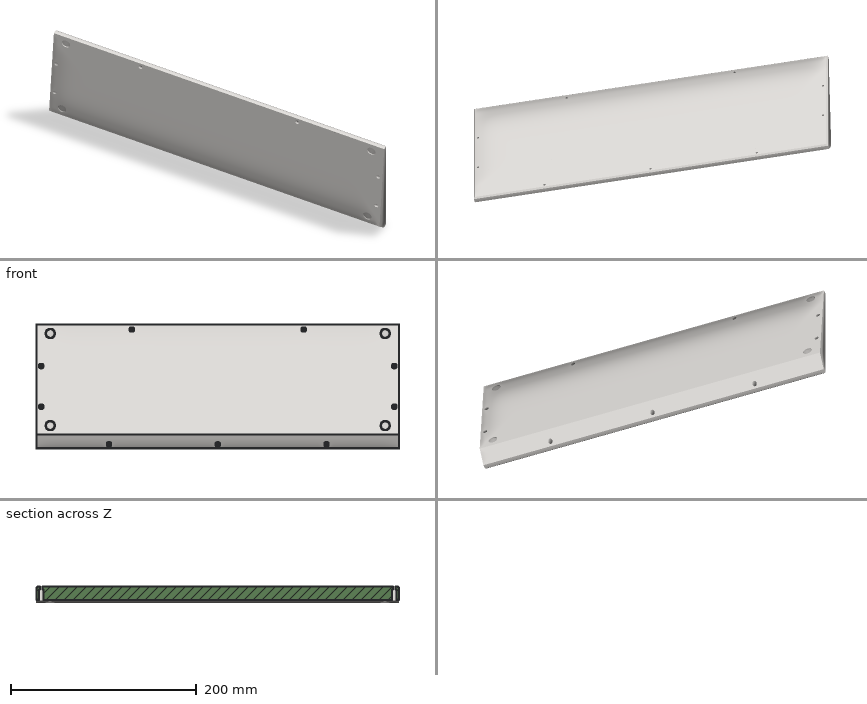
import cadquery as cq

LENGTH = 390.8
DEPTH = 18.5
HEIGHT = 133.5

TOP_THICKNESS = 6.0
BOTTOM_THICKNESS = 6.5
RIDGE_HEIGHT = 15.0
BACK_CHAMFER = 1.5

SCREW_DIAMETER = 2.5
HEAD_DIAMETER = 4.5
HEAD_SEAT = 4.0
SIDE_SCREW_X = 190.5
SIDE_SCREW_HEIGHTS = (45.0, 88.7)
TOP_SCREW_X = 92.5
TOP_SCREW_INSET = 5.5
BOTTOM_SCREW_X = 117.2
BOTTOM_SCREW_HEIGHT = 4.3

FOOT_DIAMETER = 9.8
FOOT_RECESS = 1.0
FOOT_X = 180.5
FOOT_HEIGHTS = (24.5, 124.0)

SCREW_POINTS = (
    [(side * SIDE_SCREW_X, z) for side in (-1, 1) for z in SIDE_SCREW_HEIGHTS]
    + [(side * TOP_SCREW_X, HEIGHT - TOP_SCREW_INSET) for side in (-1, 1)]
    + [(step * BOTTOM_SCREW_X, BOTTOM_SCREW_HEIGHT) for step in (-1, 0, 1)]
)
FOOT_POINTS = [(side * FOOT_X, z) for side in (-1, 1) for z in FOOT_HEIGHTS]


def front_face_y(z):
    """Y of the sloping front face at height z."""
    rise = (z - RIDGE_HEIGHT) / (HEIGHT - RIDGE_HEIGHT)
    return -DEPTH + rise * (DEPTH - TOP_THICKNESS)


def wedge():
    """Wedge with its back on Y = 0, its bottom on Z = 0 and its length centred on X = 0."""
    section = [
        (0, 0),
        (-BOTTOM_THICKNESS, 0),
        (-DEPTH, RIDGE_HEIGHT),
        (-TOP_THICKNESS, HEIGHT),
        (0, HEIGHT),
    ]
    body = cq.Workplane("YZ").polyline(section).close().extrude(LENGTH / 2, both=True)
    return body.faces(">Y").edges().chamfer(BACK_CHAMFER)


def cylinders_from(y, points, diameter):
    """Cylinders that start at the given Y and run forward past the front of the wedge."""
    plane = cq.Workplane("XZ", origin=(0, y, 0))
    return plane.pushPoints(points).circle(diameter / 2).extrude(2 * DEPTH)


def foot_recess(x, z):
    """Disc sunk into the sloping front face, square to that face."""
    outward = (0, RIDGE_HEIGHT - HEIGHT, DEPTH - TOP_THICKNESS)
    face = cq.Plane(origin=(x, front_face_y(z), z), xDir=(1, 0, 0), normal=outward)
    disc = cq.Workplane(face).circle(FOOT_DIAMETER / 2)
    return disc.extrude(FOOT_RECESS, both=True)


result = wedge()
result = result.cut(cylinders_from(DEPTH, SCREW_POINTS, SCREW_DIAMETER))
result = result.cut(cylinders_from(-HEAD_SEAT, SCREW_POINTS, HEAD_DIAMETER))
for foot_x, foot_z in FOOT_POINTS:
    result = result.cut(foot_recess(foot_x, foot_z))